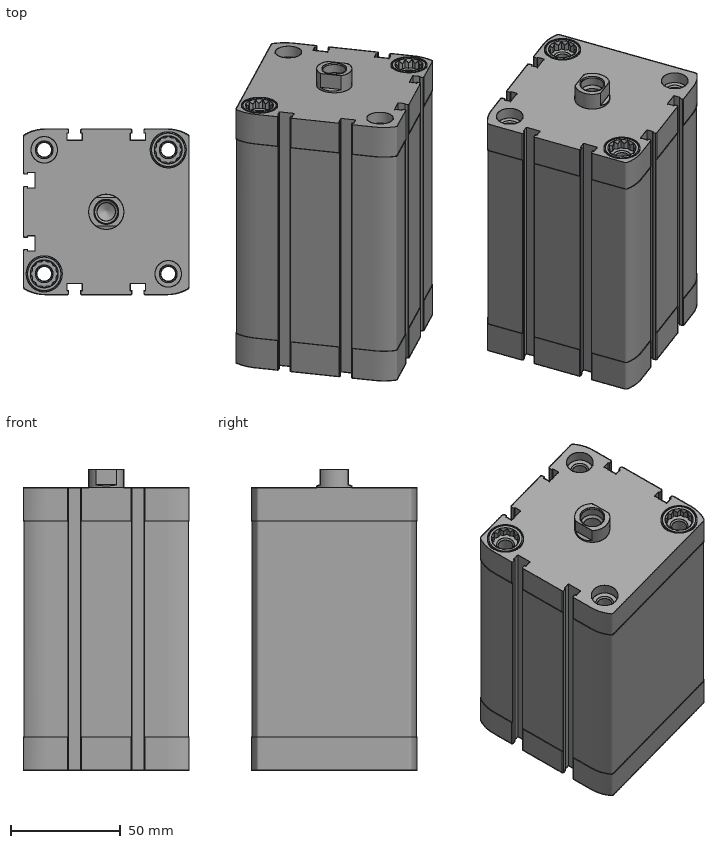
import cadquery as cq
import math

total_height = 137.0
housing_width = 75.5
housing_height = 128.6
cap_height = 15.1
barrel_inset = 0.2
corner_arc_start = 27.8
corner_arc_radius = 18.5
corner_edge_radius = 1.2
hole_spacing = 56.5

slot_spacing = 28.8
slot_mouth_width = 5.5
slot_inner_width = 6.8
slot_mouth_chamfer = 0.4
slot_lip = 1.9
slot_depth_front = 5.1
slot_depth_side = 5.2

thread_core = 6.7
thread_mouth = 8.1
counterbore_diameter = 12.0
counterbore_depth = 5.5

head_recess_diameter = 16.5
head_top_diameter = 15.2
head_recess_depth = 0.7
socket_teeth = 12
socket_root_radius = 6.3
socket_tip_radius = 5.6
socket_angle = 45.0
socket_depth = 4.5
socket_mouth_diameter = 12.7
socket_mouth_depth = 1.8

rod_diameter = 16.0
rod_embedded = 27.4
rod_flats_width = 12.9
rod_flats_end = 0.8
rod_flats_run_out = 0.5
bore_mouth_diameter = 11.4
bore_diameter = 10.5
bore_mouth_depth = 0.5
bore_depth = 4.7
rod_thread_core = 8.4
rod_thread_depth = 19.2
drill_point_half_angle = 59.0


def cone(bottom_diameter, top_diameter, height, bottom_z):
    """Upright truncated cone on the Z axis."""
    solid = cq.Solid.makeCone(bottom_diameter / 2, top_diameter / 2, height, cq.Vector(0, 0, bottom_z))
    return cq.Workplane(obj=solid)


def cylinder(diameter, bottom_z, top_z):
    """Upright cylinder on the Z axis."""
    return cq.Workplane().workplane(offset=bottom_z).circle(diameter / 2).extrude(top_z - bottom_z)


def housing_block(width, bottom_z, top_z):
    """Square block whose Y faces curve round to the X faces at the corners."""
    half = width / 2
    arc_angle = math.asin((half - corner_arc_start) / corner_arc_radius)
    edge_y = half - corner_arc_radius * (1 - math.cos(arc_angle))
    middle_x = corner_arc_start + corner_arc_radius * math.sin(arc_angle / 2)
    middle_y = half - corner_arc_radius * (1 - math.cos(arc_angle / 2))
    return (
        cq.Workplane()
        .workplane(offset=bottom_z)
        .moveTo(-corner_arc_start, -half)
        .lineTo(corner_arc_start, -half)
        .threePointArc((middle_x, -middle_y), (half, -edge_y))
        .lineTo(half, edge_y)
        .threePointArc((middle_x, middle_y), (corner_arc_start, half))
        .lineTo(-corner_arc_start, half)
        .threePointArc((-middle_x, middle_y), (-half, edge_y))
        .lineTo(-half, -edge_y)
        .threePointArc((-middle_x, -middle_y), (-corner_arc_start, -half))
        .close()
        .extrude(top_z - bottom_z)
        .edges("|Z and (<X or >X)")
        .fillet(corner_edge_radius)
    )


def slot_pair(depth):
    """Two T-slot cutters opening on the -Y face, with a chamfered mouth."""
    mouth = slot_mouth_width / 2
    flare = mouth + slot_mouth_chamfer
    inner = slot_inner_width / 2
    half_outline = [
        (flare, 0),
        (mouth, slot_mouth_chamfer),
        (mouth, slot_lip),
        (inner, slot_lip),
        (inner, depth),
    ]
    outline = half_outline + [(-x, y) for x, y in reversed(half_outline)]
    slot = cq.Workplane().polyline(outline).close().extrude(housing_height)
    slot = slot.translate((0, -housing_width / 2, 0))
    offset = slot_spacing / 2
    return slot.translate((-offset, 0, 0)).union(slot.translate((offset, 0, 0)))


def threaded_hole(floor_z):
    """Through hole with a 45 degree chamfer up to the floor of its counterbore."""
    chamfer = (thread_mouth - thread_core) / 2
    mouth = cone(thread_core, thread_mouth, chamfer, floor_z - chamfer)
    return cylinder(thread_core, 0, floor_z).union(mouth)


def counterbored_hole():
    """Threaded through hole below a flat counterbore."""
    floor_z = housing_height - counterbore_depth
    return threaded_hole(floor_z).union(cylinder(counterbore_diameter, floor_z, housing_height))


def socket_outline():
    """Corner points of the star-shaped socket, with one tooth tip in the +X direction."""
    points = []
    for corner in range(2 * socket_teeth):
        radius = socket_root_radius if corner % 2 else socket_tip_radius
        angle = math.pi * corner / socket_teeth
        points.append((radius * math.cos(angle), radius * math.sin(angle)))
    return points


def screw_hole():
    """Chamfer groove around a screw head, its toothed socket and the threaded hole below."""
    floor_z = housing_height - socket_depth
    groove_z = housing_height - head_recess_depth
    head = cone(head_recess_diameter, head_top_diameter, head_recess_depth, groove_z)
    groove = cylinder(head_recess_diameter, groove_z, housing_height).cut(head)
    socket = cq.Workplane().workplane(offset=floor_z).polyline(socket_outline()).close().extrude(socket_depth)
    mouth_z = housing_height - socket_mouth_depth
    mouth = cone(2 * socket_tip_radius, socket_mouth_diameter, socket_mouth_depth, mouth_z)
    socket = socket.rotate((0, 0, 0), (0, 0, 1), socket_angle)
    return threaded_hole(floor_z).union(socket).union(mouth).union(groove)


def make_housing():
    """Square barrel between two slightly larger caps, with slots, corner holes and the rod hole."""
    barrel_width = housing_width - 2 * barrel_inset
    top_cap_z = housing_height - cap_height
    body = housing_block(barrel_width, cap_height, top_cap_z)
    body = body.union(housing_block(housing_width, 0, cap_height))
    body = body.union(housing_block(housing_width, top_cap_z, housing_height))

    for angle, depth in ((0, slot_depth_front), (180, slot_depth_front), (-90, slot_depth_side)):
        body = body.cut(slot_pair(depth).rotate((0, 0, 0), (0, 0, 1), angle))

    offset = hole_spacing / 2
    for side in (-1, 1):
        body = body.cut(screw_hole().translate((side * offset, side * offset, 0)))
        body = body.cut(counterbored_hole().translate((side * offset, -side * offset, 0)))

    return body.cut(cylinder(rod_diameter, housing_height - rod_embedded, housing_height))


def rod_flat():
    """Cutter for the +Y flat of the rod, with a sloped lower end."""
    radius = rod_diameter / 2
    flat_y = rod_flats_width / 2
    low_z = housing_height + rod_flats_end
    return (
        cq.Workplane("YZ")
        .moveTo(flat_y, total_height)
        .lineTo(flat_y, low_z + rod_flats_run_out)
        .lineTo(radius, low_z)
        .lineTo(radius, total_height)
        .close()
        .extrude(radius, both=True)
    )


def rod_bore():
    """Stepped, chamfered blind bore with a drill point."""
    floor_z = total_height - bore_depth
    chamfer = (bore_diameter - rod_thread_core) / 2
    end_z = total_height - rod_thread_depth
    tip_height = rod_thread_core / 2 / math.tan(math.radians(drill_point_half_angle))
    mouth = cone(bore_diameter, bore_mouth_diameter, bore_mouth_depth, total_height - bore_mouth_depth)
    bore = cylinder(bore_diameter, floor_z, total_height).union(mouth)
    bore = bore.union(cone(rod_thread_core, bore_diameter, chamfer, floor_z - chamfer))
    bore = bore.union(cylinder(rod_thread_core, end_z, floor_z))
    return bore.union(cone(0, rod_thread_core, tip_height, end_z - tip_height))


def make_rod():
    """Round rod with two flats and a threaded bore."""
    rod = cylinder(rod_diameter, housing_height - rod_embedded, total_height)
    flat = rod_flat()
    rod = rod.cut(flat).cut(flat.rotate((0, 0, 0), (0, 0, 1), 180))
    return rod.cut(rod_bore())


housing = make_housing()
rod = make_rod()

result = cq.Compound.makeCompound([housing.val(), rod.val()])